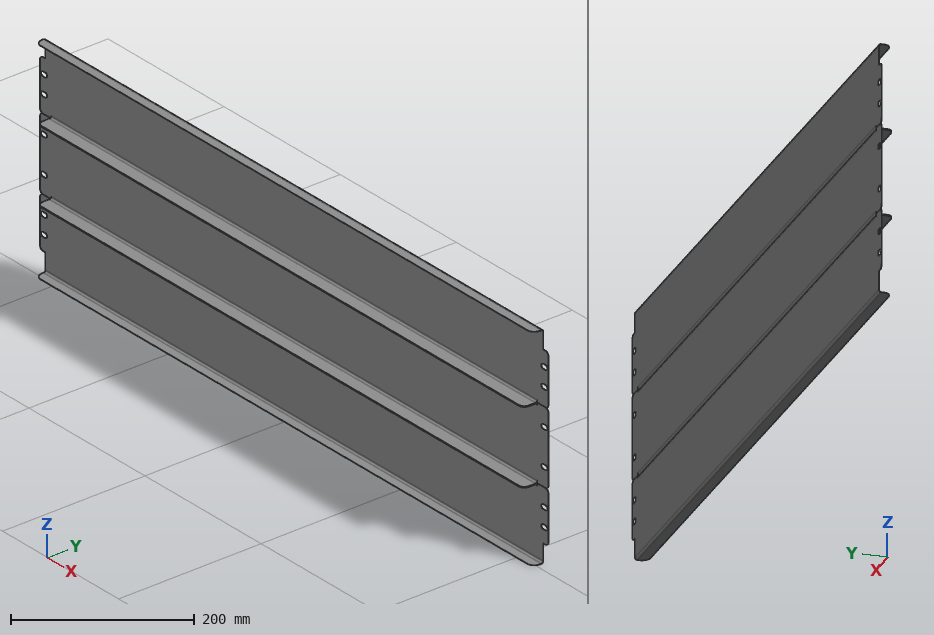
import cadquery as cq

overall_length = 876.5
overall_height = 290.0
overall_depth = 20.0

sheet = 1.0
bend_inner = 2.0
bend_outer = bend_inner + sheet

middle_height = 100.0
seam_z = middle_height / 2
top_z = overall_height / 2
body_length = 858.0
tab_top_z = 120.0
tab_corner = 5.0

free_flange_depth = 15.0
free_flange_corner = 10.0
seam_flange_length = 838.0
seam_flange_corner = 8.0

slot_length = 10.5
slot_width = 6.0
slot_inset = 7.0
slot_center_x = overall_length / 2 - slot_inset
slot_span = 149.0
upper_slot_steps = (3, 4)
middle_slot_steps = (-1, 1)
slot_step = slot_span / (2 * upper_slot_steps[0])


def sheet_block(length, bottom, top):
    """Flat sheet centred on X, with its back face on Y = 0."""
    block = cq.Workplane("XY").box(length, sheet, top - bottom, centered=(True, False, False))
    return block.translate((0, -sheet, bottom))


def folded_flange(length, depth, corner, edge_z):
    """Lip bent forward from a sheet, with its outside on edge_z and rounded front corners."""
    bend_z = edge_z - bend_outer
    profile = (
        cq.Workplane("YZ")
        .moveTo(0, bend_z)
        .radiusArc((-bend_outer, edge_z), -bend_outer)
        .lineTo(-depth, edge_z)
        .lineTo(-depth, edge_z - sheet)
        .lineTo(-bend_outer, edge_z - sheet)
        .radiusArc((-sheet, bend_z), bend_inner)
        .close()
    )
    return profile.extrude(length / 2, both=True).edges("|Z and <Y").fillet(corner)


def add_flange(panel, length, depth, corner, edge_z):
    """Fold the upper edge of a panel forward into a flange."""
    folded_strip = sheet_block(length, edge_z - bend_outer, edge_z)
    return panel.cut(folded_strip).union(folded_flange(length, depth, corner, edge_z))


def add_seam_flange(panel):
    """Deep flange along a panel edge at seam_z."""
    return add_flange(panel, seam_flange_length, overall_depth, seam_flange_corner, seam_z)


def slots(steps):
    """Horizontal through slots at both ends of a panel."""
    centers = [(side * slot_center_x, step * slot_step) for side in (-1, 1) for step in steps]
    return cq.Workplane("XZ").pushPoints(centers).slot2D(slot_length, slot_width).extrude(sheet)


def flipped(shape, plane_z=0):
    """Mirror image in the horizontal plane at plane_z."""
    return shape.mirror("XY", (0, 0, plane_z))


def make_middle_panel():
    """Panel with a deep flange along each seam."""
    panel = sheet_block(overall_length, -seam_z, seam_z).edges("|Y").fillet(tab_corner)
    for _ in range(2):
        panel = flipped(add_seam_flange(panel))
    return panel.cut(slots(middle_slot_steps))


def make_upper_panel():
    """Panel with a deep flange at the seam, a shallow one on its free edge and a tab at each end."""
    tabs = sheet_block(overall_length, seam_z, tab_top_z).edges("|Y").fillet(tab_corner)
    panel = tabs.union(sheet_block(body_length, tab_top_z - tab_corner, top_z))
    panel = add_flange(panel, body_length, free_flange_depth, free_flange_corner, top_z)
    panel = flipped(add_seam_flange(flipped(panel, seam_z)), seam_z)
    return panel.cut(slots(upper_slot_steps))


middle_panel = make_middle_panel()
upper_panel = make_upper_panel()
outer_panels = [upper_panel, flipped(upper_panel)]

result = cq.Compound.makeCompound([
    middle_panel.solids().val(),
    *[panel.solids().val() for panel in outer_panels],
])